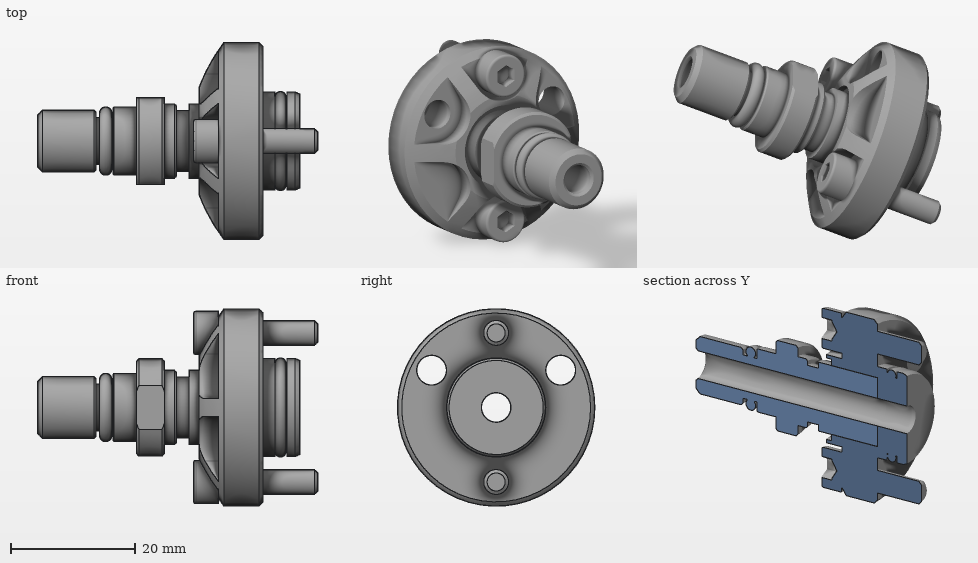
import cadquery as cq
import math


BORE_D = 4.7
BORE_CHAMFER = 0.4

TIP_END = 9.4
RING_GROOVE_END = 12.1
WRENCH_START = 15.9
WRENCH_END = 20.4
COLLAR_END = 22.35
NECK_END = 24.4

TIP_D = 10.0
NECK_D = 9.87
RING_GROOVE_D = 7.6
SHOULDER_D = 11.0
WRENCH_D = 15.7
WRENCH_FLATS = 14.0
JOURNAL_D = 12.0
COLLAR_D = JOURNAL_D
TIP_CHAMFER = 0.8
WRENCH_CHAMFER = 0.4
EDGE_CHAMFER = 0.35
SHOULDER_CHAMFER = 0.2

ROTOR_RING_OD = 10.99
ROTOR_RING_CORD = 2.0
ROTOR_RING_X = 10.95

DOME_START = 26.0
SEAT_X = 29.1
RIM_START = 30.0
FLANGE_BACK = 36.3
SPIGOT_GROOVE_START = 38.2
SPIGOT_GROOVE_END = 40.1
SPIGOT_END = 42.2

FLANGE_D = 31.8
RECESS_D = 14.0
RECESS_DEPTH = 1.0
DOME_FACE_R = 8.7
DOME_SEAT_R = 14.65
FLANGE_CHAMFER = 0.7
SPIGOT_D = 15.85
SPIGOT_GROOVE_D = 13.53
SPIGOT_CHAMFER_LENGTH = 0.8
SPIGOT_CHAMFER_DEPTH = 0.35

SPIGOT_RING_OD = 15.97
SPIGOT_RING_CORD = 1.78

RIB_COUNT = 6
RIB_WIDTH = 2.84
POCKET_CORNER_R = 4.8
HOLE_CIRCLE_R = 12.0
MOUNT_HOLE_D = 4.75
MOUNT_HOLE_ANGLES = (30, 150)

SCREW_ANGLES = (90, 270)
SCREW_D = 4.0
SCREW_LENGTH = 16.0
SCREW_TIP_CHAMFER = 0.55
HEAD_D = 7.0
HEAD_HEIGHT = 4.0
HEAD_FILLET = 0.4
SOCKET_FLATS = 3.1
SOCKET_DEPTH = 2.0
SOCKET_CONE_DEPTH = 1.0


def revolve_about_x(profile):
    """Revolve a closed (x, radius) wire a full turn about the X axis."""
    return profile.close().revolve(360, (0, 0, 0), (1, 0, 0))


def rod(start, end, diameter, y=0.0, z=0.0):
    """Cylinder along X from start to end."""
    return (
        cq.Workplane("YZ", origin=(start, y, z))
        .circle(diameter / 2)
        .extrude(end - start)
    )


def o_ring(center_x, outer_diameter, cord):
    """Torus about the X axis."""
    center_r = (outer_diameter - cord) / 2
    return (
        cq.Workplane("XY")
        .center(center_x, center_r)
        .circle(cord / 2)
        .revolve(360, (0, -center_r, 0), (1, -center_r, 0))
    )


def on_hole_circle(angle):
    """(y, z) of a point on the hole circle, the angle taken from +Y towards +Z."""
    a = math.radians(angle)
    return HOLE_CIRCLE_R * math.cos(a), HOLE_CIRCLE_R * math.sin(a)


def make_wrench_collar():
    """Chamfered round collar with two flats across Y."""
    collar = rod(WRENCH_START, WRENCH_END, WRENCH_D).edges().chamfer(WRENCH_CHAMFER)
    flats = cq.Workplane("XY").box(WRENCH_END - WRENCH_START, WRENCH_FLATS, WRENCH_D)
    return collar.intersect(flats.translate(((WRENCH_START + WRENCH_END) / 2, 0, 0)))


def make_rotor():
    tip = (
        rod(0, TIP_END, TIP_D)
        .faces("<X").chamfer(TIP_CHAMFER)
        .faces(">X").chamfer(EDGE_CHAMFER)
    )
    shoulder = rod(RING_GROOVE_END, WRENCH_START, SHOULDER_D).faces("<X").chamfer(SHOULDER_CHAMFER)
    collar = rod(WRENCH_END, COLLAR_END, COLLAR_D).faces(">X").chamfer(EDGE_CHAMFER)
    rotor = (
        tip.union(rod(TIP_END, RING_GROOVE_END, RING_GROOVE_D))
        .union(o_ring(ROTOR_RING_X, ROTOR_RING_OD, ROTOR_RING_CORD))
        .union(shoulder)
        .union(make_wrench_collar())
        .union(collar)
        .union(rod(COLLAR_END, NECK_END, NECK_D))
        .union(rod(NECK_END, FLANGE_BACK, JOURNAL_D))
    )
    rotor = rotor.cut(rod(0, FLANGE_BACK, BORE_D))
    bore_mouth = cq.selectors.RadiusNthSelector(0)
    return rotor.faces("<X").edges(bore_mouth).chamfer(BORE_CHAMFER)


def make_flange():
    """Domed flange with the grooved spigot behind it."""
    rim_r = FLANGE_D / 2
    spigot_r = SPIGOT_D / 2
    groove_r = SPIGOT_GROOVE_D / 2
    profile = (
        cq.Workplane("XY")
        .moveTo(DOME_START, 0)
        .lineTo(DOME_START, DOME_FACE_R)
        .threePointArc((SEAT_X, DOME_SEAT_R), (RIM_START, rim_r))
        .lineTo(FLANGE_BACK - FLANGE_CHAMFER, rim_r)
        .lineTo(FLANGE_BACK, rim_r - FLANGE_CHAMFER)
        .lineTo(FLANGE_BACK, spigot_r)
        .lineTo(SPIGOT_GROOVE_START, spigot_r)
        .lineTo(SPIGOT_GROOVE_START, groove_r)
        .lineTo(SPIGOT_GROOVE_END, groove_r)
        .lineTo(SPIGOT_GROOVE_END, spigot_r)
        .lineTo(SPIGOT_END - SPIGOT_CHAMFER_LENGTH, spigot_r)
        .lineTo(SPIGOT_END, spigot_r - SPIGOT_CHAMFER_DEPTH)
        .lineTo(SPIGOT_END, 0)
    )
    return revolve_about_x(profile)


def make_pocket(angle):
    """Wedge between two neighbouring ribs, its inner corner rounded, centred on the angle."""
    half_wedge = math.pi / RIB_COUNT
    apex = RIB_WIDTH / 2 / math.sin(half_wedge)
    reach = FLANGE_D
    half_mouth = (reach - apex) * math.tan(half_wedge)
    wedge = (
        cq.Workplane("YZ", origin=(DOME_START, 0, 0))
        .polyline([(apex, 0), (reach, -half_mouth), (reach, half_mouth)])
        .close()
        .extrude(SEAT_X - DOME_START)
    )
    wedge = wedge.edges("|X and <Y").fillet(POCKET_CORNER_R)
    return wedge.rotate((0, 0, 0), (1, 0, 0), angle)


def make_screw(angle):
    """Socket head screw seated on a pocket floor."""
    y, z = on_hole_circle(angle)
    head_x = SEAT_X - HEAD_HEIGHT
    socket_d = SOCKET_FLATS / math.cos(math.pi / 6)
    head = rod(head_x, SEAT_X, HEAD_D, y, z).faces("<X").edges().fillet(HEAD_FILLET)
    shank = rod(SEAT_X, SEAT_X + SCREW_LENGTH, SCREW_D, y, z).faces(">X").chamfer(SCREW_TIP_CHAMFER)
    socket = (
        cq.Workplane("YZ", origin=(head_x, y, z))
        .transformed(rotate=(0, 0, 90))
        .polygon(6, socket_d)
        .extrude(SOCKET_DEPTH)
    )
    socket_bottom = cq.Workplane(
        cq.Solid.makeCone(
            SOCKET_FLATS / 2, 0, SOCKET_CONE_DEPTH,
            cq.Vector(head_x + SOCKET_DEPTH, y, z), cq.Vector(1, 0, 0),
        )
    )
    return head.union(shank).cut(socket).cut(socket_bottom)


def make_housing():
    housing = make_flange()
    wedge_angle = 360 / RIB_COUNT
    for i in range(RIB_COUNT):
        housing = housing.cut(make_pocket((i + 0.5) * wedge_angle))
    for angle in MOUNT_HOLE_ANGLES:
        housing = housing.cut(rod(SEAT_X, FLANGE_BACK, MOUNT_HOLE_D, *on_hole_circle(angle)))
    ring_x = SPIGOT_GROOVE_START + SPIGOT_RING_CORD / 2
    housing = housing.union(o_ring(ring_x, SPIGOT_RING_OD, SPIGOT_RING_CORD))
    for angle in SCREW_ANGLES:
        housing = housing.union(make_screw(angle))
    housing = housing.cut(rod(DOME_START, DOME_START + RECESS_DEPTH, RECESS_D))
    housing = housing.cut(rod(DOME_START, FLANGE_BACK, JOURNAL_D))
    return housing.cut(rod(FLANGE_BACK, SPIGOT_END, BORE_D))


rotor = make_rotor()
housing = make_housing()
result = cq.Compound.makeCompound([rotor.val(), housing.val()])